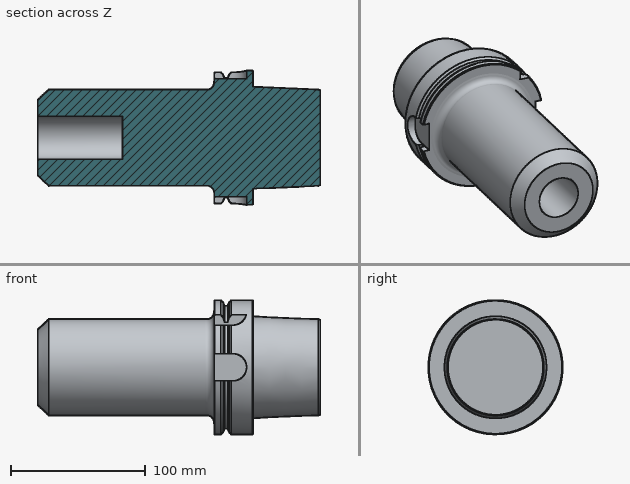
import cadquery as cq
import math

total_length = 210.0
nose_chamfer_length = 8.5
neck_start = 124.7
neck_fillet_start = 126.0
flange_start = 131.0
flange_end = 160.0

nose_radius = 28.1
body_radius = 72.0 / 2
neck_radius = 71.8 / 2
neck_fillet_radius = 4.8
flange_face_radius = 42.2
flange_radius = 100.0 / 2
taper_large_radius = 38.0
taper_small_radius = 71.8 / 2
flange_chamfer = 0.6
taper_chamfer_length = 1.7
taper_chamfer_height = 0.6

groove_start = 136.0
groove_end = 143.8
groove_chamfer = 1.7
groove_floor_start = 138.8
groove_floor_end = 141.1
groove_radius = 45.8

bore_radius = 32.0 / 2
bore_depth = 63.0

slot_end = 155.2
slot_corner_radius = 10.0
front_slot_width = 2 * slot_corner_radius
back_slot_width = 22.0
slot_floor = 43.9
notch_floor = 31.3


def turned_body():
    """Revolve the complete outer profile about the X axis."""
    fillet_centre_x = neck_fillet_start
    fillet_centre_r = neck_radius + neck_fillet_radius
    fillet_mid = (
        fillet_centre_x + neck_fillet_radius * math.sin(math.pi / 4),
        fillet_centre_r - neck_fillet_radius * math.cos(math.pi / 4),
    )
    return (
        cq.Workplane("XY")
        .moveTo(0, 0)
        .lineTo(0, nose_radius)
        .lineTo(nose_chamfer_length, body_radius)
        .lineTo(neck_start, body_radius)
        .lineTo(neck_fillet_start, neck_radius)
        .threePointArc(fillet_mid, (fillet_centre_x + neck_fillet_radius, fillet_centre_r))
        .lineTo(flange_start, flange_face_radius)
        .lineTo(flange_start, flange_radius - flange_chamfer)
        .lineTo(flange_start + flange_chamfer, flange_radius)
        .lineTo(groove_start, flange_radius)
        .lineTo(groove_start + groove_chamfer, flange_radius - groove_chamfer)
        .lineTo(groove_floor_start, groove_radius)
        .lineTo(groove_floor_end, groove_radius)
        .lineTo(groove_end - groove_chamfer, flange_radius - groove_chamfer)
        .lineTo(groove_end, flange_radius)
        .lineTo(flange_end - flange_chamfer, flange_radius)
        .lineTo(flange_end, flange_radius - flange_chamfer)
        .lineTo(flange_end, taper_large_radius)
        .lineTo(total_length - taper_chamfer_length, taper_small_radius)
        .lineTo(total_length, taper_small_radius - taper_chamfer_height)
        .lineTo(total_length, 0)
        .close()
        .revolve(360, (0, 0, 0), (1, 0, 0))
    )


def tool_bore():
    return cq.Workplane("YZ").circle(bore_radius).extrude(bore_depth)


def flange_slot(width, centre_z, floor, side):
    """Round-ended cutter running from the flange face; side is -1 for -Y or +1 for +Y."""
    straight_end = slot_end - slot_corner_radius
    depth = flange_radius - floor
    mid_y = side * (floor + depth / 2)
    channel = cq.Workplane("XY").box(straight_end - flange_start, depth, width)
    channel = channel.translate(((flange_start + straight_end) / 2, mid_y, centre_z))
    corner_offset = width / 2 - slot_corner_radius
    for corner_z in (centre_z - corner_offset, centre_z + corner_offset):
        corner = (
            cq.Workplane("XZ", origin=(straight_end, mid_y + depth / 2, corner_z))
            .circle(slot_corner_radius)
            .extrude(depth)
        )
        channel = channel.union(corner)
    if corner_offset > 0:
        end_land = cq.Workplane("XY").box(slot_corner_radius, depth, 2 * corner_offset)
        channel = channel.union(end_land.translate((slot_end - slot_corner_radius / 2, mid_y, centre_z)))
    return channel


front_slot = flange_slot(front_slot_width, 0, slot_floor, -1)
back_slot = flange_slot(back_slot_width, 0, slot_floor, 1)
corner_notch = flange_slot(front_slot_width, notch_floor + front_slot_width / 2, notch_floor, -1)

result = turned_body().cut(tool_bore()).cut(front_slot).cut(back_slot).cut(corner_notch)